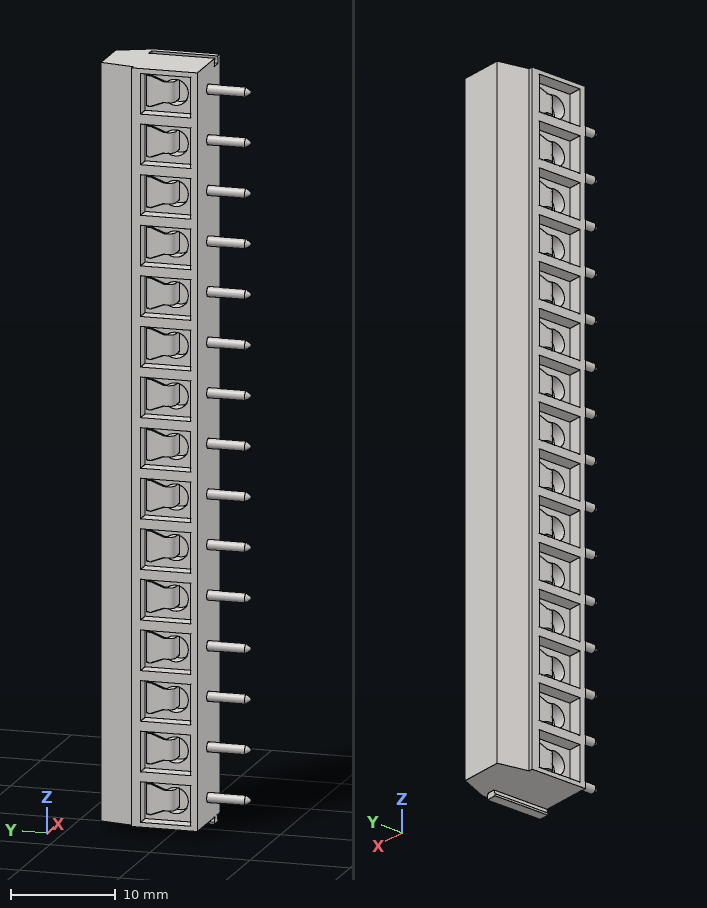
import cadquery as cq

pole_count = 15
total_length = 75.7
tongue_height = 0.7
body_length = total_length - tongue_height
pitch = body_length / pole_count

body_width = 7.5
body_depth = 10.0
shoulder_y = 6.6
step_width = 0.45
top_left_x = 1.1
top_right_x = 6.0

joint_x = 6.2
joint_neck_width = 0.9
joint_wide_width = 1.2
joint_lip_height = 0.2
groove_depth = 0.75

pocket_height = 4.0
pocket_near_y = 0.7
pocket_far_y = 5.7
pocket_floor_x = 1.5

hole_radius = 1.3
hole_y = 2.65
hole_end_x = 3.0

leaf_face_x = 1.2
leaf_near_y = 2.7
leaf_far_y = pocket_far_y
leaf_bend_radius = 0.7
leaf_taper_y = 3.7
leaf_narrow_width = 2.05
leaf_wide_width = 3.0

pin_x = 3.55
pin_diameter = 1.0
pin_length = 4.3
pin_tip_length = 0.5
pin_tip_diameter = 0.2


def make_housing():
    section = [
        (0, 0),
        (body_width, 0),
        (body_width, shoulder_y),
        (top_right_x, body_depth),
        (top_left_x, body_depth),
        (step_width, shoulder_y),
        (0, shoulder_y),
    ]
    return cq.Workplane("XY").polyline(section).close().extrude(body_length)


def make_dovetail(mouth_z, height):
    """Dovetail bar along Y, hanging below mouth_z: flared sides that end in an upright lip."""
    half_wide = joint_wide_width / 2
    half_neck = joint_neck_width / 2
    bottom_z = mouth_z - height
    lip_z = bottom_z + joint_lip_height
    section = [
        (joint_x - half_neck, mouth_z),
        (joint_x - half_wide, lip_z),
        (joint_x - half_wide, bottom_z),
        (joint_x + half_wide, bottom_z),
        (joint_x + half_wide, lip_z),
        (joint_x + half_neck, mouth_z),
    ]
    return cq.Workplane("XZ").polyline(section).close().extrude(-shoulder_y)


def make_pocket(pole_z):
    pocket = cq.Workplane("XY").box(
        pocket_floor_x, pocket_far_y - pocket_near_y, pocket_height, centered=(False, False, True)
    ).translate((0, pocket_near_y, pole_z))
    hole = cq.Workplane("YZ").center(hole_y, pole_z).circle(hole_radius).extrude(hole_end_x)
    return pocket.union(hole)


def make_leaf(pole_z):
    """Leaf with rounded ends along Y, trimmed to an outline that narrows toward the hole."""
    bar = (
        cq.Workplane("XY")
        .box(
            hole_end_x - leaf_face_x,
            leaf_far_y - leaf_near_y,
            leaf_wide_width,
            centered=(False, False, True),
        )
        .translate((leaf_face_x, leaf_near_y, pole_z))
        .edges("<X and |Z")
        .fillet(leaf_bend_radius)
    )
    half_narrow = leaf_narrow_width / 2
    half_wide = leaf_wide_width / 2
    leaf_taper_end_y = leaf_far_y - leaf_bend_radius
    outline = [
        (leaf_near_y, pole_z - half_narrow),
        (leaf_taper_y, pole_z - half_narrow),
        (leaf_taper_end_y, pole_z - half_wide),
        (leaf_far_y, pole_z - half_wide),
        (leaf_far_y, pole_z + half_wide),
        (leaf_taper_end_y, pole_z + half_wide),
        (leaf_taper_y, pole_z + half_narrow),
        (leaf_near_y, pole_z + half_narrow),
    ]
    return bar.intersect(cq.Workplane("YZ").polyline(outline).close().extrude(hole_end_x))


def make_pin(pole_z):
    """Round pin pointing to -Y with a blunt conical tip."""
    return (
        cq.Workplane("XZ")
        .center(pin_x, pole_z)
        .circle(pin_diameter / 2)
        .extrude(pin_length)
        .faces("<Y")
        .chamfer(pin_tip_length, (pin_diameter - pin_tip_diameter) / 2)
    )


part = make_housing()
part = part.cut(make_dovetail(body_length, groove_depth))
part = part.union(make_dovetail(0, tongue_height))
for pole in range(pole_count):
    pole_z = (pole + 0.5) * pitch
    part = part.cut(make_pocket(pole_z)).union(make_leaf(pole_z)).union(make_pin(pole_z))

result = part